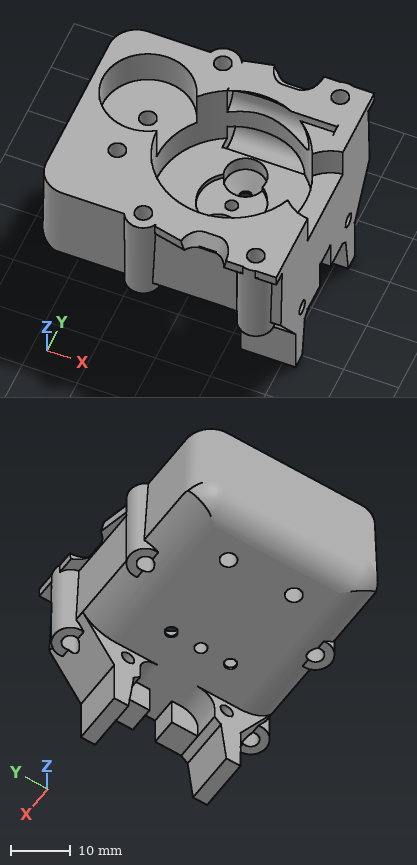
import cadquery as cq
import math

left_x = -28.0
length = 45.0
right_x = left_x + length
overall_width = 42.85
overall_height = 34.6

body_height = 19.1
side_top_y = 18.6
side_low_y = 19.15
side_low_z = -15.55
bottom_flat_y = 12.6
corner_radius = 5.0
end_bottom_radius = 5.4
end_limit_radius = 5.62
end_limit_y = 19.8

boss_radius = 3.2
boss_height = 17.9
screw_diameter = 3.0
rear_boss_x = -8.8
rear_boss_y = 17.2
front_boss_x = 12.05
front_boss_y = overall_width / 2 - boss_radius

flange_thickness = 2.0
flange_y = 21.2
flange_start_x = -6.0
flange_start_y = 19.05
flange_slope = 0.22

groove_x = 3.5
groove_floor_y = 16.9
groove_flat = 2.5
groove_radius = 3.05
groove_angle = 45.0
groove_reach = 13.5

bore_diameter = 27.0
bore_depth = 13.0
recess_diameter = 12.0
recess_depth = 1.0
pin_diameter = 2.2
seat_diameter = 7.4
seat_wall = 3.0
seat_y = 6.0

pocket_diameter = 16.4
pocket_depth = 7.0
post_x = 18.0
post_y = 6.6
shelf_radius = 7.7
shelf_depth = 6.0

shaft_diameter = 6.0
shaft_start_x = -5.95
shaft_length = 20.0
upper_shaft_y = 11.6
upper_shaft_z = -2.92
lower_shaft_y = 13.05
lower_shaft_z = -12.8

leg_length = 10.0
leg_outer_y = 12.8
leg_knee_z = -25.5
leg_tip_y = 9.9
leg_neck_y = 8.8
leg_neck_z = -26.05
leg_inner_y = 7.5
leg_inner_z = -24.9
leg_fillet = 3.4
leg_hole_diameter = 2.5
leg_hole_y = 10.0
leg_hole_z = -21.45
pad_inner_y = 2.25
pad_length = leg_length / 2


def both_sides(shape):
    """The shape together with its mirror image across the XZ plane."""
    return shape.union(shape.mirror("XZ"))


def drill(x, y, diameter, depth, top=0.0):
    """A vertical cylinder hanging down from height top."""
    return cq.Workplane("XY").workplane(offset=top).center(x, y).circle(diameter / 2).extrude(-depth)


def housing():
    drop = body_height + side_low_z
    run = side_low_y - bottom_flat_y
    radius = (run**2 + drop**2) / (2 * drop)
    half_angle = math.atan2(run, radius - drop) / 2
    mid_y = bottom_flat_y + radius * math.sin(half_angle)
    mid_z = radius * (1 - math.cos(half_angle)) - body_height
    block = (
        cq.Workplane("YZ")
        .workplane(offset=left_x)
        .moveTo(-side_top_y, 0)
        .lineTo(side_top_y, 0)
        .lineTo(side_low_y, side_low_z)
        .threePointArc((mid_y, mid_z), (bottom_flat_y, -body_height))
        .lineTo(-bottom_flat_y, -body_height)
        .threePointArc((-mid_y, mid_z), (-side_low_y, side_low_z))
        .close()
        .extrude(length)
    )
    block = block.faces("<X").edges("<Y or >Y").fillet(corner_radius)

    rounded_end = (
        cq.Workplane("XY")
        .rect(2 * length, 2 * end_limit_y)
        .extrude(-body_height)
        .edges("|Z and <X")
        .fillet(end_limit_radius)
        .faces("<Z")
        .edges()
        .fillet(end_bottom_radius)
        .translate((left_x + length, 0, 0))
    )
    return block.intersect(rounded_end)


def flange_half():
    slope_end_x = flange_start_x + (flange_y - flange_start_y) / flange_slope
    return (
        cq.Workplane("XY")
        .moveTo(flange_start_x, 0)
        .lineTo(flange_start_x, flange_start_y)
        .lineTo(slope_end_x, flange_y)
        .lineTo(right_x, flange_y)
        .lineTo(right_x, 0)
        .close()
        .extrude(-flange_thickness)
    )


def bosses_half():
    rear = drill(rear_boss_x, rear_boss_y, 2 * boss_radius, boss_height)
    front = drill(front_boss_x, front_boss_y, 2 * boss_radius, boss_height)
    return rear.union(front)


def groove_half():
    """Round-cornered trough that slants down and outward, open on its outer side."""
    half_width = groove_flat / 2 + groove_radius
    slant = math.radians(groove_angle)
    plane = cq.Plane(
        origin=(groove_x, groove_floor_y, 0),
        xDir=(-1, 0, 0),
        normal=(0, math.cos(slant), -math.sin(slant)),
    )
    return (
        cq.Workplane(plane)
        .moveTo(-groove_flat / 2, 0)
        .lineTo(groove_flat / 2, 0)
        .tangentArcPoint((half_width, groove_radius), relative=False)
        .lineTo(half_width, groove_reach)
        .lineTo(-half_width, groove_reach)
        .lineTo(-half_width, groove_radius)
        .tangentArcPoint((-groove_flat / 2, 0), relative=False)
        .close()
        .extrude(groove_reach, both=True)
    )


def leg_half():
    """A hanging leg with a cross hole and a shorter pad against its inner side."""
    leg = (
        cq.Workplane("YZ")
        .workplane(offset=right_x)
        .moveTo(side_low_y, side_low_z)
        .lineTo(leg_outer_y, leg_knee_z)
        .lineTo(leg_outer_y, -overall_height)
        .lineTo(leg_tip_y, -overall_height)
        .lineTo(leg_neck_y, leg_neck_z)
        .lineTo(leg_inner_y, leg_inner_z)
        .lineTo(leg_inner_y, -body_height - leg_fillet)
        .radiusArc((leg_inner_y - leg_fillet, -body_height), -leg_fillet)
        .lineTo(leg_inner_y - leg_fillet, side_low_z)
        .close()
        .extrude(-leg_length)
    )
    pad = (
        cq.Workplane("XY")
        .box(pad_length, leg_inner_y - pad_inner_y, side_low_z - leg_inner_z, centered=False)
        .translate((right_x - pad_length, pad_inner_y, leg_inner_z))
    )
    hole = (
        cq.Workplane("YZ")
        .workplane(offset=right_x)
        .center(leg_hole_y, leg_hole_z)
        .circle(leg_hole_diameter / 2)
        .extrude(-leg_length)
    )
    return leg.union(pad).cut(hole)


def shaft_bore(y, z):
    return (
        cq.Workplane("YZ")
        .workplane(offset=shaft_start_x)
        .center(y, z)
        .circle(shaft_diameter / 2)
        .extrude(shaft_length)
    )


def seated_hole(y):
    """A counterbore, a 45 degree cone and a pin hole down from the bore floor."""
    cone_depth = (seat_diameter - pin_diameter) / 2
    wall_bottom = -bore_depth - seat_wall
    wall = drill(0, y, seat_diameter, seat_wall, top=-bore_depth)
    cone = cq.Workplane(
        cq.Solid.makeCone(
            seat_diameter / 2,
            pin_diameter / 2,
            cone_depth,
            pnt=cq.Vector(0, y, wall_bottom),
            dir=cq.Vector(0, 0, -1),
        )
    )
    return cone.union(wall).union(drill(0, y, pin_diameter, body_height))


result = housing().union(both_sides(flange_half().union(bosses_half()).union(leg_half())))

result = result.cut(drill(0, 0, bore_diameter, bore_depth))
result = result.cut(drill(-post_x, post_y, pocket_diameter, pocket_depth))
result = result.cut(drill(post_x, 0, 2 * shelf_radius, shelf_depth))
result = result.cut(shaft_bore(upper_shaft_y, upper_shaft_z))
result = result.cut(shaft_bore(lower_shaft_y, lower_shaft_z))
result = result.cut(both_sides(groove_half()))

result = result.cut(drill(0, 0, recess_diameter, recess_depth, top=-bore_depth))
result = result.cut(drill(0, 0, pin_diameter, body_height))

for side in (-1, 1):
    result = result.cut(seated_hole(side * seat_y))
    result = result.cut(drill(-post_x, side * post_y, screw_diameter, body_height))
    result = result.cut(drill(rear_boss_x, side * rear_boss_y, screw_diameter, overall_height))
    result = result.cut(drill(front_boss_x, side * front_boss_y, screw_diameter, overall_height))